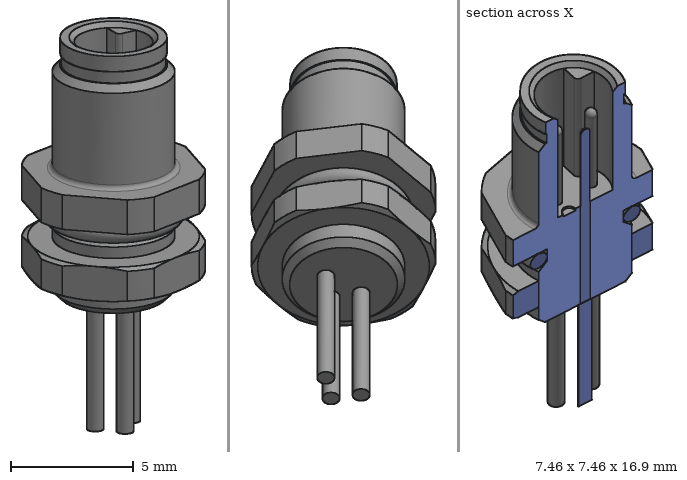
import cadquery as cq
import math

OVERALL_HEIGHT = 16.9
HOUSING_BOTTOM_Z = 5.7
NUT_BOTTOM_Z = 6.71
FLANGE_BOTTOM_Z = 9.72

HEX_THICKNESS = 1.5
HEX_SIDES = 6
HEX_ACROSS_FLATS = 7.0
HEX_CORNER_RADIUS = 3.75
HEX_TURN_ANGLE = 45.0
NUT_CHAMFER_HEIGHT = 0.1

BODY_RADIUS = 2.5
BODY_CHAMFER = 0.3
SHOULDER_TOP_Z = 15.72
SNAP_RIM_RADIUS = 2.18
SNAP_RIM_HEIGHT = 0.68
SNAP_GROOVE_RADIUS = 2.13
FLANGE_FILLET = 0.2

RING_SECTION_RADIUS = 0.4
NECK_RADIUS = 2.1
THREAD_TOP_Z = 8.7

BORE_RADIUS = 1.6
BORE_CHAMFER = 0.2
KEY_OFFSET = 0.6
KEY_CORNER_RADIUS = 0.2
DIMPLE_RADIUS = 0.3
DIMPLE_DEPTH = 0.1
DIMPLE_CENTER = (0.81, -0.81)

PIN_RADIUS = 0.25
PIN_TIP_BELOW_RIM = 1.5
WIRE_RADIUS = 0.35
CONTACT_CIRCLE_RADIUS = 0.88
CONTACT_ANGLES = (-90.0, 0.0, 90.0)

flange_top_z = FLANGE_BOTTOM_Z + HEX_THICKNESS
socket_floor_z = flange_top_z
key_top_z = OVERALL_HEIGHT - BORE_CHAMFER
contact_places = [
    (
        CONTACT_CIRCLE_RADIUS * math.cos(math.radians(angle)),
        CONTACT_CIRCLE_RADIUS * math.sin(math.radians(angle)),
    )
    for angle in CONTACT_ANGLES
]


def cylinder(radius, bottom_z, top_z, center=(0, 0)):
    return (
        cq.Workplane("XY", origin=(*center, bottom_z))
        .circle(radius)
        .extrude(top_z - bottom_z)
    )


def hex_plate(bottom_z):
    """Hexagonal plate whose corners are rounded off by a coaxial cylinder."""
    sharp_diameter = HEX_ACROSS_FLATS / math.cos(math.pi / HEX_SIDES)
    hexagon = (
        cq.Workplane("XY", origin=(0, 0, bottom_z))
        .polygon(HEX_SIDES, sharp_diameter)
        .extrude(HEX_THICKNESS)
        .rotate((0, 0, 0), (0, 0, 1), HEX_TURN_ANGLE)
    )
    return hexagon.intersect(cylinder(HEX_CORNER_RADIUS, bottom_z, bottom_z + HEX_THICKNESS))


def turned_housing():
    """Turned profile of the housing, from the threaded foot up to the snap rim."""
    chamfer_radius = BODY_RADIUS - BODY_CHAMFER
    rim_bottom_z = OVERALL_HEIGHT - SNAP_RIM_HEIGHT
    relief_chamfer = BODY_RADIUS - NECK_RADIUS
    fillet_radius = BODY_RADIUS + FLANGE_FILLET
    fillet_top_z = flange_top_z + FLANGE_FILLET
    fillet_bulge = FLANGE_FILLET * (1 - math.sqrt(0.5))
    profile = (
        cq.Workplane("XZ")
        .moveTo(0, HOUSING_BOTTOM_Z)
        .lineTo(chamfer_radius, HOUSING_BOTTOM_Z)
        .lineTo(BODY_RADIUS, HOUSING_BOTTOM_Z + BODY_CHAMFER)
        .lineTo(BODY_RADIUS, THREAD_TOP_Z)
        .lineTo(NECK_RADIUS, THREAD_TOP_Z + relief_chamfer)
        .lineTo(NECK_RADIUS, FLANGE_BOTTOM_Z)
        .lineTo(fillet_radius, FLANGE_BOTTOM_Z)
        .lineTo(fillet_radius, flange_top_z)
        .threePointArc(
            (BODY_RADIUS + fillet_bulge, flange_top_z + fillet_bulge),
            (BODY_RADIUS, fillet_top_z),
        )
        .lineTo(BODY_RADIUS, SHOULDER_TOP_Z - BODY_CHAMFER)
        .lineTo(chamfer_radius, SHOULDER_TOP_Z)
        .lineTo(SNAP_GROOVE_RADIUS, SHOULDER_TOP_Z)
        .lineTo(SNAP_GROOVE_RADIUS, rim_bottom_z)
        .lineTo(SNAP_RIM_RADIUS, rim_bottom_z)
        .lineTo(SNAP_RIM_RADIUS, OVERALL_HEIGHT)
        .lineTo(0, OVERALL_HEIGHT)
        .close()
    )
    return profile.revolve(360, (0, 0), (0, 1))


def socket_cavity():
    """Round socket, chamfered at its mouth."""
    mouth_radius = BORE_RADIUS + BORE_CHAMFER
    profile = (
        cq.Workplane("XZ")
        .moveTo(0, socket_floor_z)
        .lineTo(BORE_RADIUS, socket_floor_z)
        .lineTo(BORE_RADIUS, key_top_z)
        .lineTo(mouth_radius, OVERALL_HEIGHT)
        .lineTo(0, OVERALL_HEIGHT)
        .close()
    )
    return profile.revolve(360, (0, 0), (0, 1))


def coding_key():
    """Key with one rounded corner, filling the -X, +Y edge of the socket up to its mouth chamfer."""
    key_height = key_top_z - socket_floor_z
    block = (
        cq.Workplane("XY", origin=(-KEY_OFFSET, KEY_OFFSET, socket_floor_z))
        .rect(-BORE_RADIUS, BORE_RADIUS, centered=False)
        .extrude(key_height)
        .edges("|Z and >X and <Y")
        .fillet(KEY_CORNER_RADIUS)
    )
    return block.intersect(cylinder(BORE_RADIUS, socket_floor_z, key_top_z))


def make_housing():
    housing = turned_housing().union(hex_plate(FLANGE_BOTTOM_Z))
    housing = housing.cut(socket_cavity().cut(coding_key()))
    dimple = cylinder(DIMPLE_RADIUS, socket_floor_z - DIMPLE_DEPTH, socket_floor_z, DIMPLE_CENTER)
    housing = housing.cut(dimple)
    for place in contact_places:
        housing = housing.cut(cylinder(PIN_RADIUS, HOUSING_BOTTOM_Z, socket_floor_z, place))
    return housing


def make_nut():
    """Nut screwed on the foot, with its corners chamfered on both faces."""
    top_z = NUT_BOTTOM_Z + HEX_THICKNESS
    face_radius = HEX_ACROSS_FLATS / 2
    chamfered_disc = (
        cq.Workplane("XZ")
        .moveTo(BODY_RADIUS, NUT_BOTTOM_Z)
        .lineTo(face_radius, NUT_BOTTOM_Z)
        .lineTo(HEX_CORNER_RADIUS, NUT_BOTTOM_Z + NUT_CHAMFER_HEIGHT)
        .lineTo(HEX_CORNER_RADIUS, top_z - NUT_CHAMFER_HEIGHT)
        .lineTo(face_radius, top_z)
        .lineTo(BODY_RADIUS, top_z)
        .close()
        .revolve(360, (0, 0), (0, 1))
    )
    return hex_plate(NUT_BOTTOM_Z).intersect(chamfered_disc)


def make_sealing_ring():
    """O-ring on the neck, against the underside of the flange."""
    ring_radius = NECK_RADIUS + RING_SECTION_RADIUS
    return (
        cq.Workplane("XZ")
        .center(ring_radius, FLANGE_BOTTOM_Z - RING_SECTION_RADIUS)
        .circle(RING_SECTION_RADIUS)
        .revolve(360, (-ring_radius, 0), (-ring_radius, 1))
    )


def make_pin(place):
    """Contact pin through the socket floor, with a hemispherical tip."""
    dome_center_z = OVERALL_HEIGHT - PIN_TIP_BELOW_RIM - PIN_RADIUS
    shank = cylinder(PIN_RADIUS, HOUSING_BOTTOM_Z, dome_center_z, place)
    tip = cq.Workplane("XY", origin=(*place, dome_center_z)).sphere(PIN_RADIUS)
    return shank.union(tip)


def make_wire(place):
    """Straight wire butting against the lower end of its pin."""
    return cylinder(WIRE_RADIUS, 0, HOUSING_BOTTOM_Z, place)


housing = make_housing()
nut = make_nut()
sealing_ring = make_sealing_ring()
pins = [make_pin(place).val() for place in contact_places]
wires = [make_wire(place).val() for place in contact_places]

result = cq.Compound.makeCompound([housing.val(), nut.val(), sealing_ring.val(), *pins, *wires])